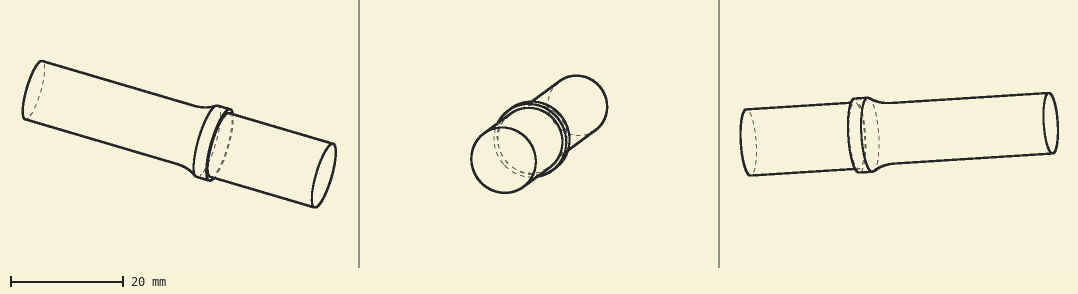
import cadquery as cq
import math

total_length = 55.2
slim_diameter = 10.8
collar_diameter = 13.2
thick_diameter = 11.8
slim_length = 29.0
flare_length = 4.0
collar_length = 2.4

slim_radius = slim_diameter / 2
collar_radius = collar_diameter / 2
thick_radius = thick_diameter / 2

flare_start = slim_length
collar_start = flare_start + flare_length
collar_end = collar_start + collar_length

flare_rise = collar_radius - slim_radius
flare_arc_radius = (flare_length**2 + flare_rise**2) / (2 * flare_rise)
half_sweep = math.asin(flare_length / flare_arc_radius) / 2
flare_middle = (
    flare_start + flare_arc_radius * math.sin(half_sweep),
    slim_radius + flare_arc_radius * (1 - math.cos(half_sweep)),
)


def pin_profile():
    """Half section of the pin, from the axis outward."""
    return (
        cq.Workplane("XZ")
        .moveTo(0, 0)
        .lineTo(0, slim_radius)
        .lineTo(flare_start, slim_radius)
        .threePointArc(flare_middle, (collar_start, collar_radius))
        .lineTo(collar_end, collar_radius)
        .lineTo(collar_end, thick_radius)
        .lineTo(total_length, thick_radius)
        .lineTo(total_length, 0)
        .close()
    )


result = pin_profile().revolve(360, (0, 0, 0), (1, 0, 0))